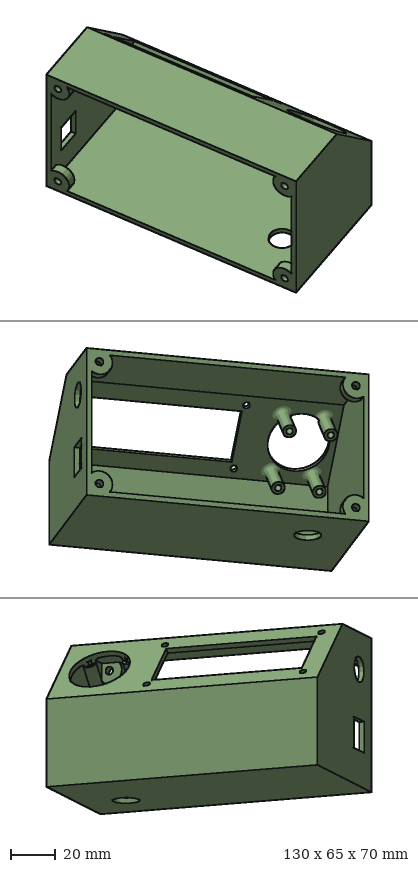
import cadquery as cq
import math

LENGTH = 130.0
DEPTH = 65.0
HEIGHT = 70.0
SLOPE_RUN = 30.0
WALL = 2.5

BOSS_RADIUS = 6.0
BOSS_LENGTH = 4.5
BOSS_HOLE_DIAMETER = 3.5

WINDOW_LENGTH = 72.0
WINDOW_HEIGHT = 25.0
WINDOW_LEFT_MARGIN = 10.0
DISPLAY_HOLE_PITCH_X = 75.0
DISPLAY_HOLE_PITCH_SLOPE = 31.2
DISPLAY_HOLE_DIAMETER = 3.0

DIAL_X = 110.5
DIAL_DIAMETER = 28.1
POST_PITCH_X = 19.0
POST_PITCH_SLOPE = 28.0
POST_DIAMETER = 6.0
POST_LENGTH = 16.0
POST_SHIFT = 2.0
POST_HOLE_DIAMETER = 3.0
POST_FILLET = 2.0

SIDE_OPENING_Y = 15.1
SIDE_HOLE_Z = HEIGHT - 16.9
SIDE_HOLE_DIAMETER = 11.5
SIDE_WINDOW_Z = 23.3
SIDE_WINDOW_WIDTH = 12.2
SIDE_WINDOW_HEIGHT = 14.2

FLOOR_HOLE_X = 108.2
FLOOR_HOLE_Y = 24.0
FLOOR_HOLE_DIAMETER = 12.1

SLOPE_MIDDLE_Y = DEPTH - SLOPE_RUN / 2
SLOPE_MIDDLE_Z = HEIGHT - SLOPE_RUN / 2
WINDOW_X = WINDOW_LEFT_MARGIN + WINDOW_LENGTH / 2


def slope_plane(x, inset=0.0):
    """Plane parallel to the slope, centred on it at x; its normal points into the box."""
    drop = inset / math.sqrt(2)
    return cq.Workplane(
        cq.Plane(
            origin=(x, SLOPE_MIDDLE_Y - drop, SLOPE_MIDDLE_Z - drop),
            xDir=(1, 0, 0),
            normal=(0, -1, -1),
        )
    )


def make_shell():
    """Hollow box with an even wall, sloped at the top rear and open at the front."""
    profile = [
        (0, 0),
        (DEPTH, 0),
        (DEPTH, HEIGHT - SLOPE_RUN),
        (DEPTH - SLOPE_RUN, HEIGHT),
        (0, HEIGHT),
    ]
    body = cq.Workplane("YZ").polyline(profile).close().extrude(LENGTH)
    return body.faces("<Y").shell(-WALL)


def make_bosses():
    """Short bosses tangent to the outer walls, flush with the open front."""
    centres = [
        (x, z)
        for x in (BOSS_RADIUS, LENGTH - BOSS_RADIUS)
        for z in (BOSS_RADIUS, HEIGHT - BOSS_RADIUS)
    ]
    front = cq.Workplane("XZ").pushPoints(centres)
    bosses = front.circle(BOSS_RADIUS).extrude(-BOSS_LENGTH)
    holes = front.circle(BOSS_HOLE_DIAMETER / 2).extrude(-BOSS_LENGTH)
    return bosses, holes


def make_post():
    """One solid post with a flared foot, revolved about its own axis (Z)."""
    radius = POST_DIAMETER / 2
    foot_radius = radius + POST_FILLET
    root = -WALL / 2
    flare_middle = POST_FILLET * (1 - math.sqrt(0.5))
    return (
        cq.Workplane("XZ")
        .moveTo(0, root)
        .lineTo(foot_radius, root)
        .lineTo(foot_radius, 0)
        .threePointArc((radius + flare_middle, flare_middle), (radius, POST_FILLET))
        .lineTo(radius, POST_LENGTH)
        .lineTo(0, POST_LENGTH)
        .close()
        .revolve(360, (0, 0, 0), (0, 1, 0))
        .val()
    )


def make_posts():
    """Four flared posts standing on the inner face of the slope, and their blind holes."""
    inner_face = (
        slope_plane(DIAL_X, WALL)
        .center(0, -POST_SHIFT)
        .rarray(POST_PITCH_X, POST_PITCH_SLOPE, 2, 2)
    )
    post = make_post()
    posts = inner_face.eachpoint(lambda place: post.moved(place), useLocalCoordinates=True)
    holes = inner_face.circle(POST_HOLE_DIAMETER / 2).extrude(POST_LENGTH)
    return posts, holes


def make_slope_openings():
    """Display window with its screw holes, and the round dial opening."""
    window = slope_plane(WINDOW_X).rect(WINDOW_LENGTH, WINDOW_HEIGHT).extrude(WALL)
    screw_holes = (
        slope_plane(WINDOW_X)
        .rarray(DISPLAY_HOLE_PITCH_X, DISPLAY_HOLE_PITCH_SLOPE, 2, 2)
        .circle(DISPLAY_HOLE_DIAMETER / 2)
        .extrude(WALL)
    )
    dial = slope_plane(DIAL_X).circle(DIAL_DIAMETER / 2).extrude(WALL + POST_FILLET)
    return window, screw_holes, dial


def make_wall_openings():
    """Round and rectangular openings in the left wall, and the hole in the floor."""
    left_wall = cq.Workplane("YZ")
    side_hole = (
        left_wall.center(SIDE_OPENING_Y, SIDE_HOLE_Z)
        .circle(SIDE_HOLE_DIAMETER / 2)
        .extrude(WALL)
    )
    side_window = (
        left_wall.center(SIDE_OPENING_Y, SIDE_WINDOW_Z)
        .rect(SIDE_WINDOW_WIDTH, SIDE_WINDOW_HEIGHT)
        .extrude(WALL)
    )
    floor_hole = (
        cq.Workplane("XY")
        .center(FLOOR_HOLE_X, FLOOR_HOLE_Y)
        .circle(FLOOR_HOLE_DIAMETER / 2)
        .extrude(WALL)
    )
    return side_hole, side_window, floor_hole


bosses, boss_holes = make_bosses()
posts, post_holes = make_posts()

result = make_shell().union(bosses).union(posts)
for opening in (boss_holes, post_holes, *make_slope_openings(), *make_wall_openings()):
    result = result.cut(opening)